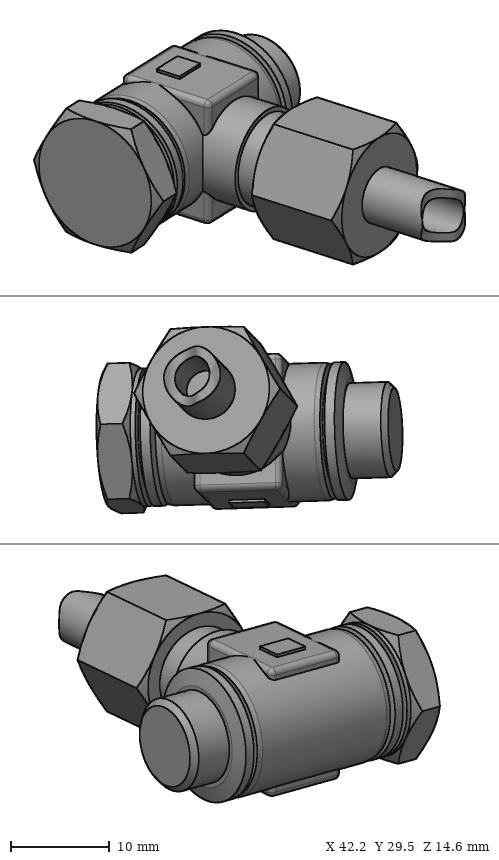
import cadquery as cq
import math


overall_x = 42.15
overall_z = 14.6

body_radius = 7.0
body_half_length = 8.48
body_edge_taper = 0.6
body_edge_drop = 0.13
washer_thickness = 2.02
washer_bevel_length = 0.5
washer_face_radius = 5.3
bolt_flange_thickness = 0.5
bolt_head_length = 3.5
stud_radius = 4.85
stud_tip_y = 15.0
stud_chamfer = 0.65

pad_left_x = -3.92
pad_width_y = 9.02
pad_round = 0.65
plate_length_x = 2.85
plate_width_y = 3.63

shoulder_radius = 5.52
shoulder_end_x = 11.0
neck_radius = 5.0
nut_start_x = 13.95
nut_length = 11.05
nut_flats = 13.05
tube_radius = 3.0
bore_radius = 2.0

tear_depth = 2.3
tear_middle_depth = 1.25
tear_front_depth = 1.55
tear_back_depth = 0.65

hex_chamfer_angle = 30.0

bolt_plane = cq.Plane(origin=(0, 0, 0), xDir=(-1, 0, 0), normal=(0, 1, 0))
outlet_plane = cq.Plane(origin=(0, 0, 0), xDir=(0, 1, 0), normal=(1, 0, 0))


def corner_radius(across_flats):
    """Distance from the axis of a hexagon to its corners."""
    return across_flats / math.sqrt(3)


def cylinder(plane, start, end, radius):
    """Solid cylinder between two positions along the normal of a plane."""
    return cq.Workplane(plane).workplane(offset=start).circle(radius).extrude(end - start)


def hexagon(plane, start, length, across_flats):
    """Hexagonal prism with two flats facing up and down and its corners bevelled at both ends."""
    corner = corner_radius(across_flats)
    face_radius = across_flats / 2
    bevel = (corner - face_radius) * math.tan(math.radians(hex_chamfer_angle))
    prism = cq.Workplane(plane).workplane(offset=start).polygon(6, 2 * corner).extrude(length)
    envelope = (
        cylinder(plane, start, start + length, corner)
        .faces("%PLANE")
        .chamfer(bevel, corner - face_radius)
    )
    return prism.intersect(envelope)


def washer(start_y):
    """Sealing washer with a cylindrical rim between two shallow cones."""
    end_y = start_y + washer_thickness
    return (
        cq.Workplane("XY")
        .moveTo(0, start_y)
        .lineTo(washer_face_radius, start_y)
        .lineTo(body_radius, start_y + washer_bevel_length)
        .lineTo(body_radius, end_y - washer_bevel_length)
        .lineTo(washer_face_radius, end_y)
        .lineTo(0, end_y)
        .close()
        .revolve(360, (0, 0, 0), (0, 1, 0))
    )


def banjo_body():
    """Round body that tapers slightly towards both ends."""
    body = cylinder(bolt_plane, -body_half_length, body_half_length, body_radius)
    return body.faces("%PLANE").chamfer(body_edge_taper, body_edge_drop)


def pads():
    """Rounded block whose top and bottom lie level with the body, each with a plain marking plate."""
    pad_length = body_radius - pad_left_x
    block = (
        cq.Workplane("XY")
        .box(pad_length, pad_width_y, 2 * body_radius)
        .edges()
        .fillet(pad_round)
        .translate(((body_radius + pad_left_x) / 2, 0, 0))
    )
    plates = cq.Workplane("XY").box(plate_length_x, plate_width_y, overall_z)
    return block.union(plates)


def bolt():
    """Hexagon head, flange and stud, with a washer on each side of the body."""
    flange_end = -body_half_length - washer_thickness
    head_end = flange_end - bolt_flange_thickness
    flange = cylinder(bolt_plane, head_end, flange_end, body_radius)
    head = hexagon(bolt_plane, head_end - bolt_head_length, bolt_head_length, 2 * body_radius)
    stud = cylinder(bolt_plane, 0, stud_tip_y, stud_radius).faces(">Y").chamfer(stud_chamfer)
    return (
        head.union(flange)
        .union(washer(flange_end))
        .union(washer(body_half_length))
        .union(stud)
    )


def tube():
    """Tube with a torn S-shaped end; it is hollow where it stands clear of the nut."""
    nut_end_x = nut_start_x + nut_length
    tip_x = overall_x - corner_radius(2 * body_radius)
    tear = [
        (tip_x - tear_front_depth, -tube_radius),
        (tip_x - tear_depth, -tube_radius / 2),
        (tip_x - tear_middle_depth, 0),
        (tip_x, tube_radius / 2),
        (tip_x - tear_back_depth, tube_radius),
    ]
    tear_tangents = [None, (0, 1), None, (0, 1), None]
    outline = (
        cq.Workplane("XY")
        .workplane(offset=-tube_radius)
        .moveTo(nut_end_x, -tube_radius)
        .lineTo(*tear[0])
        .spline(tear, tangents=tear_tangents)
        .lineTo(nut_end_x, tube_radius)
        .close()
        .extrude(2 * tube_radius)
    )
    wall = cylinder(outlet_plane, nut_end_x, overall_x, tube_radius).cut(
        cylinder(outlet_plane, nut_end_x, overall_x, bore_radius)
    )
    return wall.intersect(outline)


def outlet():
    """Stepped branch of the body with its union nut and tube."""
    shoulder = cylinder(outlet_plane, 0, shoulder_end_x, shoulder_radius)
    neck = cylinder(outlet_plane, 0, nut_start_x, neck_radius)
    nut = hexagon(outlet_plane, nut_start_x, nut_length, nut_flats)
    return shoulder.union(neck).union(nut).union(tube())


result = banjo_body().union(pads()).union(bolt()).union(outlet())